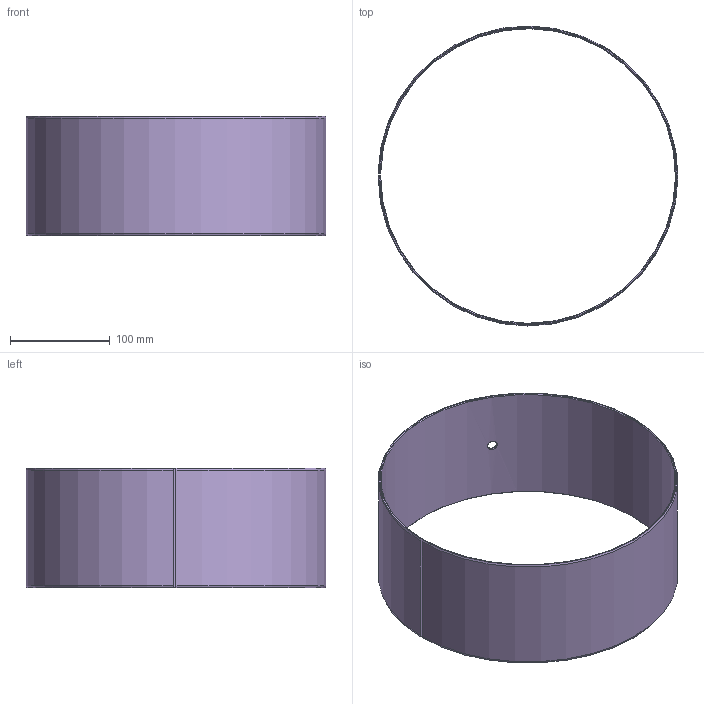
import cadquery as cq
import math

OUTER_DIAMETER = 300.0
WALL = 2.5
HEIGHT = 120.0

OUTER_BEVEL_HEIGHT = 2.0
OUTER_BEVEL_ANGLE = 20.0
INNER_BEVEL = 0.8

SEAM_ANGLE = 1.0
SEAM_END = 180.0
HOLE_ANGLE = 59.0

HOLE_DIAMETER = 10.0

outer_radius = OUTER_DIAMETER / 2
inner_radius = outer_radius - WALL
half_height = HEIGHT / 2
outer_bevel_width = OUTER_BEVEL_HEIGHT * math.tan(math.radians(OUTER_BEVEL_ANGLE))


def open_band():
    """Bevelled wall section revolved from one side of the seam to the other, centred in height."""
    section = (
        cq.Workplane("XZ")
        .moveTo(inner_radius, -half_height + INNER_BEVEL)
        .lineTo(inner_radius + INNER_BEVEL, -half_height)
        .lineTo(outer_radius - outer_bevel_width, -half_height)
        .lineTo(outer_radius, -half_height + OUTER_BEVEL_HEIGHT)
        .lineTo(outer_radius, half_height - OUTER_BEVEL_HEIGHT)
        .lineTo(outer_radius - outer_bevel_width, half_height)
        .lineTo(inner_radius + INNER_BEVEL, half_height)
        .lineTo(inner_radius, half_height - INNER_BEVEL)
        .close()
    )
    band = section.revolve(360 - SEAM_ANGLE, (0, 0, 0), (0, 1, 0))
    return band.rotate((0, 0, 0), (0, 0, 1), SEAM_END)


def hole_cutter():
    """Radial cylinder that pierces the wall once, at mid height."""
    cutter = cq.Workplane("YZ").circle(HOLE_DIAMETER / 2).extrude(OUTER_DIAMETER)
    return cutter.rotate((0, 0, 0), (0, 0, 1), HOLE_ANGLE)


result = open_band().cut(hole_cutter())